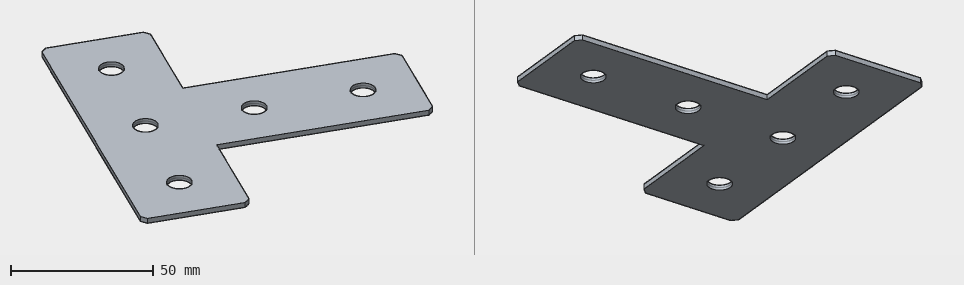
import cadquery as cq

span = 120.0
thickness = 2.0
hole_diameter = 9.0
corner_chamfer = 2.0

cell = span / 3


def t_blank():
    """Crossbar along the front edge with a stem running back from its middle."""
    crossbar = cq.Workplane("XY").box(span, cell, thickness).translate((0, -cell, 0))
    stem = cq.Workplane("XY").box(cell, span, thickness)
    return crossbar.union(stem).clean()


def chamfer_outer_corners(plate):
    """Bevel the six convex corners at the ends of the three arms."""
    end_corners = plate.edges("|Z").edges("<X or >X or <Y or >Y")
    return end_corners.chamfer(corner_chamfer)


def drill_holes(plate):
    """One through hole at the centre of every grid cell the plate covers."""
    crossbar_centres = [(column * cell, -cell) for column in (-1, 0, 1)]
    stem_centres = [(0, row * cell) for row in (0, 1)]
    holes = (
        cq.Workplane("XY")
        .pushPoints(crossbar_centres + stem_centres)
        .circle(hole_diameter / 2)
        .extrude(thickness, both=True)
    )
    return plate.cut(holes)


result = drill_holes(chamfer_outer_corners(t_blank()))